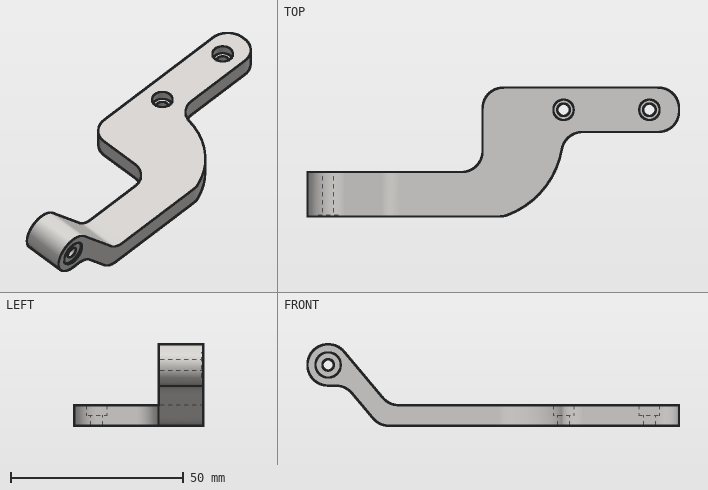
import cadquery as cq
import math

length = 108.0
width = 37.5
height = 23.8

thickness = 6.0
bend_radius = 6.0
arm_width = 13.0

eye_radius = 6.0
eye_hole_diameter = 3.2
eye_recess_diameter = 7.3
eye_recess_depth = 0.5
slope = math.radians(50)

step_x = 50.9
sweep_center_x = 49.4
sweep_center_y = 23.8
sweep_radius = 25.0

end_hole_inset = 8.6
hole_spacing = 25.0
hole_diameter = 3.6
counterbore_diameter = 5.9
counterbore_depth = 3.0

eye_x = eye_radius
eye_z = height - eye_radius
upper_arm_y = width - arm_width


def side_profile():
    """Bent strip in XZ: the neck's underside points at the eye centre and its top is tangent to the eye."""
    bend_bottom_x = eye_x + eye_z / math.tan(slope)
    bend_top_x = bend_bottom_x + thickness * math.tan(slope / 2)
    eye_bottom = eye_z - eye_radius
    neck_bottom_x = eye_x + eye_radius / math.tan(slope)
    tangent_x = eye_x + eye_radius * math.sin(slope)
    tangent_z = eye_z + eye_radius * math.cos(slope)
    strip = (
        cq.Workplane("XZ")
        .moveTo(eye_x, eye_bottom)
        .lineTo(neck_bottom_x, eye_bottom)
        .lineTo(bend_bottom_x, 0)
        .lineTo(length, 0)
        .lineTo(length, thickness)
        .lineTo(bend_top_x, thickness)
        .lineTo(tangent_x, tangent_z)
        .threePointArc((eye_x - eye_radius, eye_z), (eye_x, eye_bottom))
        .close()
        .extrude(-width)
    )
    bends = [(neck_bottom_x, eye_bottom), (bend_bottom_x, 0), (bend_top_x, thickness)]
    for x, z in bends:
        edge = cq.selectors.NearestToPointSelector((x, width / 2, z))
        strip = strip.edges(edge).fillet(bend_radius)
    return strip


def point_on_sweep(angle):
    """Point on the large outer arc of the web."""
    return (
        sweep_center_x + sweep_radius * math.cos(angle),
        sweep_center_y + sweep_radius * math.sin(angle),
    )


def plan_outline():
    """Two offset arms joined by a web with a large rounded outer side, every corner filleted."""
    sweep_start = -math.asin(sweep_center_y / sweep_radius)
    sweep_end = math.asin((upper_arm_y - sweep_center_y) / sweep_radius)
    sweep_middle = (sweep_start + sweep_end) / 2
    return (
        cq.Workplane("XY")
        .lineTo(*point_on_sweep(sweep_start))
        .threePointArc(point_on_sweep(sweep_middle), point_on_sweep(sweep_end))
        .lineTo(length, upper_arm_y)
        .lineTo(length, width)
        .lineTo(step_x, width)
        .lineTo(step_x, arm_width)
        .lineTo(0, arm_width)
        .close()
        .extrude(height)
        .edges("|Z and (not <X)")
        .fillet(bend_radius)
    )


def hole_cutter(plane, origin, diameter, depth):
    """Cylinder sunk from the origin against the plane normal."""
    return cq.Workplane(plane, origin=origin).circle(diameter / 2).extrude(-depth)


result = side_profile().intersect(plan_outline())

eye_origin = (eye_x, 0, eye_z)
result = result.cut(hole_cutter("XZ", eye_origin, eye_hole_diameter, arm_width))
result = result.cut(hole_cutter("XZ", eye_origin, eye_recess_diameter, eye_recess_depth))

for hole_x in (length - end_hole_inset - hole_spacing, length - end_hole_inset):
    hole_origin = (hole_x, width - arm_width / 2, thickness)
    result = result.cut(hole_cutter("XY", hole_origin, hole_diameter, thickness))
    result = result.cut(hole_cutter("XY", hole_origin, counterbore_diameter, counterbore_depth))